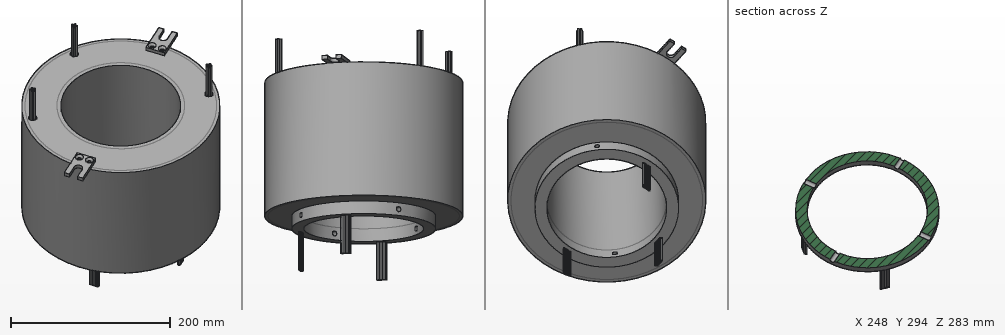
import cadquery as cq
import math

overall_length = 294.0
overall_height = 283.0
housing_diameter = 248.0
housing_height = 170.8

housing_wall = 4.0
bore_diameter = 150.0
sleeve_wall = 5.0
flange_diameter = 180.0
flange_height = 16.2

set_screw_count = 4
set_screw_diameter = 6.2
set_screw_first_angle = 45.0

lug_width = 25.3
lug_length = 40.3
lug_thickness = 5.0
lug_slot_width = 11.2
lug_slot_depth = 20.3
lug_screw_spacing = 13.8
lug_screw_inset = 6.5
lug_screw_diameter = 4.5
lug_sink_diameter = 10.0
lug_sink_angle = 90.0

tapped_diameter = 3.2
tapped_depth = 10.0
drill_point_angle = 118.0

lug_screw_y = overall_length / 2 - lug_length + lug_screw_inset
lug_angles = (0, 180)

lower_wire_length = 48.5
upper_wire_length = overall_height - housing_height - flange_height - lower_wire_length

upper_wire_x = 92.0
upper_wire_y = 64.7
upper_wire_radius = 1.2
upper_ring_count = 5
upper_ring_radius = 3.0
outlet_diameter = 10.3
outlet_depth = 3.0

lower_bundle_radius = 81.7
lower_bundle_angles = (-90, 0, 90)
lower_wire_radius = 0.97
lower_wires_per_row = 6
lower_wire_pitch = 2.0
lower_row_spacing = 1.8

wire_root = 3.0


def tube(outer_diameter, inner_diameter, bottom, height):
    ring = cq.Workplane("XY").workplane(offset=bottom).circle(outer_diameter / 2)
    return ring.circle(inner_diameter / 2).extrude(height)


def make_body():
    """Housing shell, filling ring and bore sleeve, with flush but separate top faces."""
    fill_outer = housing_diameter - 2 * housing_wall
    fill_inner = bore_diameter + 2 * sleeve_wall
    shell = tube(housing_diameter, fill_outer, 0, housing_height)
    filling = tube(fill_outer, fill_inner, 0, housing_height)
    sleeve = tube(fill_inner, bore_diameter, 0, housing_height)
    flange = tube(flange_diameter, bore_diameter, -flange_height, flange_height)
    body = shell
    for ring in (filling, sleeve, flange):
        body = body.union(ring, clean=False)
    return body


def set_screw_holes():
    hole = (
        cq.Workplane("YZ")
        .center(0, -flange_height / 2)
        .circle(set_screw_diameter / 2)
        .extrude(flange_diameter / 2)
    )
    holes = []
    for index in range(set_screw_count):
        angle = set_screw_first_angle + index * 360 / set_screw_count
        holes.append(hole.rotate((0, 0, 0), (0, 0, 1), angle))
    return holes


def make_lug():
    """Lug on the +Y side, with its slot open at the outer end."""
    tip = overall_length / 2
    slot_radius = lug_slot_width / 2
    slot_arc_y = tip - lug_slot_depth + slot_radius
    plate = (
        cq.Workplane("XY")
        .workplane(offset=housing_height)
        .center(0, tip - lug_length / 2)
        .rect(lug_width, lug_length)
        .extrude(lug_thickness)
    )
    slot = (
        cq.Workplane("XY")
        .workplane(offset=housing_height)
        .moveTo(-slot_radius, tip)
        .lineTo(-slot_radius, slot_arc_y)
        .threePointArc((0, slot_arc_y - slot_radius), (slot_radius, slot_arc_y))
        .lineTo(slot_radius, tip)
        .close()
        .extrude(lug_thickness)
    )
    return (
        plate.cut(slot)
        .faces(">Z")
        .workplane(origin=(0, lug_screw_y, 0))
        .pushPoints([(-lug_screw_spacing / 2, 0), (lug_screw_spacing / 2, 0)])
        .cskHole(lug_screw_diameter, lug_sink_diameter, lug_sink_angle)
    )


def tapped_hole(x, y):
    """Revolved drill shape, from the top of the housing down to the drill point."""
    radius = tapped_diameter / 2
    point_height = radius / math.tan(math.radians(drill_point_angle / 2))
    return (
        cq.Workplane("XZ")
        .moveTo(0, 0)
        .lineTo(radius, 0)
        .lineTo(radius, -tapped_depth)
        .lineTo(0, -tapped_depth - point_height)
        .close()
        .revolve(360, (0, 0, 0), (0, 1, 0))
        .translate((x, y, housing_height))
    )


def upper_bundle(x, y):
    """Central wire and a ring, with one ring wire pointing along Y away from the X axis."""
    outward = math.copysign(90, y)
    centres = [(x, y)]
    for index in range(upper_ring_count):
        angle = math.radians(outward + index * 360 / upper_ring_count)
        wire_x = x + upper_ring_radius * math.cos(angle)
        wire_y = y + upper_ring_radius * math.sin(angle)
        centres.append((wire_x, wire_y))
    floor = housing_height - outlet_depth
    return (
        cq.Workplane("XY")
        .workplane(offset=floor - wire_root)
        .pushPoints(centres)
        .circle(upper_wire_radius)
        .extrude(wire_root + outlet_depth + upper_wire_length)
    )


def lower_bundle(angle):
    """Two rows lying along the flange, staggered by half a pitch."""
    centres = []
    for side in (-1, 1):
        for index in range(lower_wires_per_row):
            along = (index - (lower_wires_per_row - 1) / 2 - side / 4) * lower_wire_pitch
            centres.append((lower_bundle_radius + side * lower_row_spacing / 2, along))
    return (
        cq.Workplane("XY")
        .workplane(offset=wire_root - flange_height)
        .pushPoints(centres)
        .circle(lower_wire_radius)
        .extrude(-(wire_root + lower_wire_length))
        .rotate((0, 0, 0), (0, 0, 1), angle)
    )


upper_positions = [
    (upper_wire_x, upper_wire_y),
    (-upper_wire_x, upper_wire_y),
    (-upper_wire_x, -upper_wire_y),
]

outlets = (
    cq.Workplane("XY")
    .workplane(offset=housing_height - outlet_depth)
    .pushPoints(upper_positions)
    .circle(outlet_diameter / 2)
    .extrude(outlet_depth)
)

result = make_body()
for hole in set_screw_holes():
    result = result.cut(hole, clean=False)
result = result.cut(outlets, clean=False)
for screw_x in (-lug_screw_spacing / 2, lug_screw_spacing / 2):
    for screw_y in (-lug_screw_y, lug_screw_y):
        result = result.cut(tapped_hole(screw_x, screw_y), clean=False)

lug = make_lug()
for lug_angle in lug_angles:
    result = result.union(lug.rotate((0, 0, 0), (0, 0, 1), lug_angle), clean=False)
for position in upper_positions:
    result = result.union(upper_bundle(*position), clean=False)
for bundle_angle in lower_bundle_angles:
    result = result.union(lower_bundle(bundle_angle), clean=False)